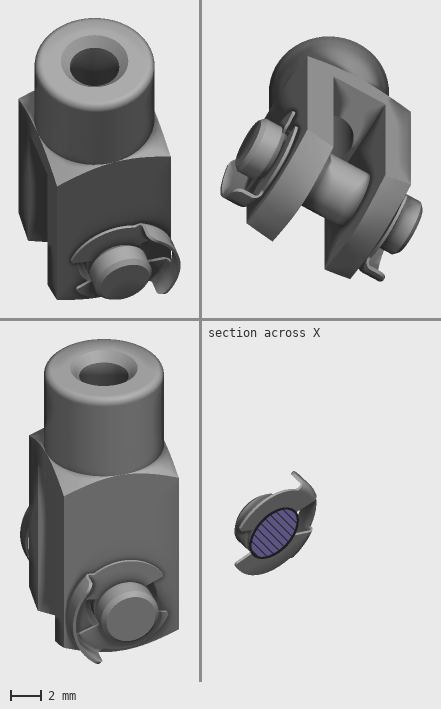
import cadquery as cq
import math

fork_width = 8.0
fork_height = 21.0
slot_width = fork_width / 2
slot_top = 13.0
shoulder_height = 15.0
cone_angle = 30.0
neck_rounding = 0.5
bore_diameter = 3.3
bore_mouth_diameter = 4.5

pin_diameter = fork_width / 2
pin_length = 12.5
pin_height = 5.0
pin_chamfer = 0.3
groove_radius = 1.72
groove_inner = 4.25
groove_outer = 4.79
pin_hole_chamfer = 0.5

clip_thickness = 0.2
clip_plate_radius = 3.4
clip_band_radius = fork_width / 2
clip_reach = 6.05
clip_tilt = 6.5
bend_outer_radius = 0.59
bend_inner_radius = 0.23
band_corner_radius = 0.63
tab_root_radius = 0.32
arm_tip_radius = 0.2

tab_half_width = 2.2
tab_angle = 23.5
window_half_width = 0.63
window_angle = 12.7
opening_half_width = 0.52
opening_angle = 17.0


def make_fork():
    half = fork_width / 2
    slope = math.tan(math.radians(cone_angle))
    outside = fork_width

    block = cq.Workplane("XY").rect(fork_width, fork_width).extrude(2 * fork_height, both=True)
    turned = (
        cq.Workplane("XZ")
        .moveTo(0, -slot_width / 2 * slope)
        .lineTo(outside, (outside - slot_width / 2) * slope)
        .lineTo(outside, shoulder_height - (outside - half) * slope)
        .lineTo(half, shoulder_height)
        .lineTo(0, shoulder_height)
        .close()
        .revolve(360, (0, 0, 0), (0, 1, 0))
    )
    fork = block.intersect(turned)

    neck = (
        cq.Workplane("XY", origin=(0, 0, shoulder_height))
        .circle(half)
        .extrude(fork_height - shoulder_height)
        .faces(">Z")
        .edges()
        .fillet(neck_rounding)
    )
    fork = fork.union(neck)

    slot = cq.Workplane("XY").box(slot_width, 2 * fork_width, 2 * slot_top)
    fork = fork.cut(slot)

    mouth_depth = (bore_mouth_diameter - bore_diameter) / 2
    bore = (
        cq.Workplane("XZ")
        .moveTo(0, slot_top)
        .lineTo(bore_diameter / 2, slot_top)
        .lineTo(bore_diameter / 2, fork_height - mouth_depth)
        .lineTo(bore_mouth_diameter / 2, fork_height)
        .lineTo(0, fork_height)
        .close()
        .revolve(360, (0, 0, 0), (0, 1, 0))
    )
    fork = fork.cut(bore)

    hole_radius = pin_diameter / 2
    hole = (
        cq.Workplane("XY", origin=(0, 0, pin_height))
        .moveTo(-half, 0)
        .lineTo(-half, hole_radius + pin_hole_chamfer)
        .lineTo(-half + pin_hole_chamfer, hole_radius)
        .lineTo(half - pin_hole_chamfer, hole_radius)
        .lineTo(half, hole_radius + pin_hole_chamfer)
        .lineTo(half, 0)
        .close()
        .revolve(360, (0, 0, 0), (1, 0, 0))
    )
    return fork.cut(hole)


def make_pin():
    pin = (
        cq.Workplane("YZ", origin=(-pin_length / 2, 0, pin_height))
        .circle(pin_diameter / 2)
        .extrude(pin_length)
        .faces("<X or >X")
        .chamfer(pin_chamfer)
    )
    for groove_start in (groove_inner, -groove_outer):
        groove = (
            cq.Workplane("YZ", origin=(groove_start, 0, pin_height))
            .circle(pin_diameter)
            .circle(groove_radius)
            .extrude(groove_outer - groove_inner)
        )
        pin = pin.cut(groove)
    return pin


def make_wedge(half_width, angle, length, x_start, x_end):
    """Prism along X, from the pin axis to Y = length, widening with distance from the axis."""
    end_half_width = half_width + abs(length) * math.tan(math.radians(angle))
    return (
        cq.Workplane("YZ", origin=(x_start, 0, 0))
        .polyline([(0, -half_width), (length, -end_half_width), (length, end_half_width), (0, half_width)])
        .close()
        .extrude(x_end - x_start)
    )


def make_clip():
    """Clip for the +X groove, centred on the X axis with its band towards +Y."""
    plate_outside = groove_inner + clip_thickness
    band_inside = clip_band_radius - clip_thickness
    bend_end = groove_inner + bend_outer_radius
    beyond = 2 * clip_band_radius

    cup = (
        cq.Workplane("XY")
        .moveTo(groove_inner, groove_radius)
        .lineTo(groove_inner, clip_band_radius - bend_outer_radius)
        .radiusArc((bend_end, clip_band_radius), bend_outer_radius)
        .lineTo(clip_reach, clip_band_radius)
        .lineTo(clip_reach, band_inside)
        .lineTo(plate_outside + bend_inner_radius, band_inside)
        .radiusArc((plate_outside, band_inside - bend_inner_radius), -bend_inner_radius)
        .lineTo(plate_outside, groove_radius)
        .close()
        .revolve(360, (0, 0, 0), (1, 0, 0))
    )

    tab = make_wedge(tab_half_width, tab_angle, beyond, groove_inner, clip_reach)
    tab = tab.faces(">X").edges("not |Z").fillet(band_corner_radius)
    disc = (
        cq.Workplane("YZ", origin=(groove_inner, 0, 0))
        .circle(clip_plate_radius)
        .extrude(clip_thickness)
    )
    tab_roots = cq.selectors.BoxSelector((0, 0, -beyond), (beyond, clip_plate_radius, beyond))
    blank = disc.union(tab).edges("|X").edges(tab_roots).fillet(tab_root_radius)
    opening = make_wedge(opening_half_width, opening_angle, -beyond, groove_inner, clip_reach)
    arm_tips = cq.selectors.BoxSelector((0, -clip_plate_radius, -beyond), (beyond, -groove_radius, beyond))
    blank = blank.cut(opening).edges("|X").edges(arm_tips).fillet(arm_tip_radius)

    clip = cup.intersect(blank)

    window = make_wedge(window_half_width, window_angle, beyond, groove_inner, bend_end)
    clip = clip.cut(window)

    return clip.rotate((0, 0, 0), (1, 0, 0), clip_tilt)


fork = make_fork()
pin = make_pin()

clips = []
for turn in (0, 180):
    clip = make_clip().rotate((0, 0, 0), (0, 1, 0), turn).translate((0, 0, pin_height))
    clips.append(clip.solids().val())

result = cq.Compound.makeCompound([fork.solids().val(), pin.solids().val(), *clips])